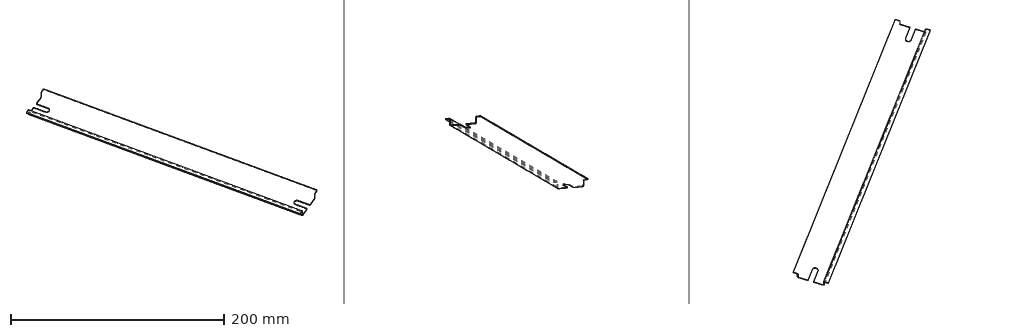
import cadquery as cq

length = 289.0
flange_width = 35.0
height = 7.5
thickness = 1.0

channel_width = 27.0
inner_bend_radius = 0.8
outer_bend_radius = inner_bend_radius + thickness

slot_width = 5.5
slot_depth = 15.0


def hat_profile():
    """Top-hat section in the YZ plane, with its base resting on Z = 0."""
    tip = flange_width / 2
    wall_outer = channel_width / 2
    wall_inner = wall_outer - thickness
    flange_underside = height - thickness
    right_side = [
        (wall_outer, 0),
        (wall_outer, flange_underside),
        (tip, flange_underside),
        (tip, height),
        (wall_inner, height),
        (wall_inner, thickness),
    ]
    left_side = [(-y, z) for y, z in reversed(right_side)]
    return cq.Workplane("YZ").polyline(right_side + left_side).close()


def make_rail():
    """Extrude the section along X and round both sides of every bend."""
    rail = hat_profile().extrude(length / 2, both=True)
    wall_outer = channel_width / 2
    wall_inner = wall_outer - thickness
    inner_bends = [(wall_outer, height - thickness), (wall_inner, thickness)]
    outer_bends = [(wall_outer, 0), (wall_inner, height)]
    for bends, radius in ((inner_bends, inner_bend_radius), (outer_bends, outer_bend_radius)):
        for y, z in bends:
            for side in (-1, 1):
                edge = cq.selectors.NearestToPointSelector((0, side * y, z))
                rail = rail.edges("|X").edges(edge).fillet(radius)
    return rail


def end_slot(side):
    """Round-bottomed slot through the base, open at one end of the rail."""
    radius = slot_width / 2
    mouth = side * length / 2
    arc_start = side * (length / 2 - slot_depth + radius)
    arc_bottom = side * (length / 2 - slot_depth)
    return (
        cq.Workplane("XY")
        .moveTo(mouth, -radius)
        .lineTo(arc_start, -radius)
        .threePointArc((arc_bottom, 0), (arc_start, radius))
        .lineTo(mouth, radius)
        .close()
        .extrude(height)
    )


result = make_rail()
for end in (-1, 1):
    result = result.cut(end_slot(end))